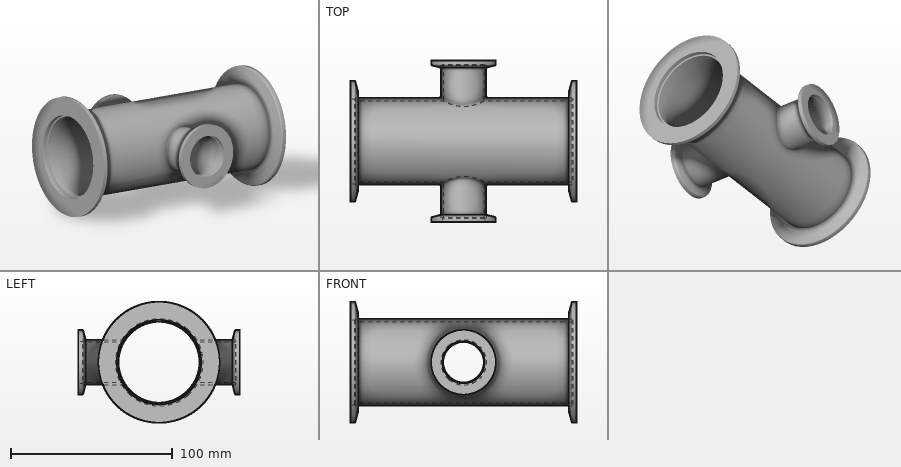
import cadquery as cq
import math

main_length = 140.0
branch_span = 100.0

main_outer_d = 54.0
main_bore_d = 50.0
main_flange_d = 75.0
main_recess_d = 52.4
main_hub_d = 60.2

branch_outer_d = 28.0
branch_bore_d = 25.0
branch_flange_d = 40.0
branch_recess_d = 26.2
branch_hub_d = 28.1

rim_width = 2.2
rim_round = 1.0
cone_angle = math.radians(15)
recess_depth = 3.0
junction_fillet = 0.7
weld_fillet = 0.5


def cylinder_x(diameter, length):
    return cq.Workplane("YZ").circle(diameter / 2).extrude(length / 2, both=True)


def cylinder_y(diameter, length):
    return cq.Workplane("XZ").circle(diameter / 2).extrude(length / 2, both=True)


def face_main_end(body, side):
    """Move a body built from z = 0 inwards along +Z to one end of the main tube."""
    return body.rotate((0, 0, 0), (0, 1, 0), -90 * side).translate((side * main_length / 2, 0, 0))


def face_branch_end(body, side):
    """Move a body built from z = 0 inwards along +Z to the end of one branch."""
    return body.rotate((0, 0, 0), (1, 0, 0), 90 * side).translate((0, side * branch_span / 2, 0))


def make_weld_bead(recess_d):
    """Concave fillet ring around Z, in the corner of a recess that opens at z = 0."""
    recess_r = recess_d / 2
    arc_center_r = recess_r - weld_fillet
    arc_center_z = recess_depth - weld_fillet
    arc_reach = weld_fillet * math.sqrt(0.5)
    return (
        cq.Workplane("XZ")
        .moveTo(recess_r, recess_depth)
        .lineTo(recess_r, arc_center_z)
        .threePointArc(
            (arc_center_r + arc_reach, arc_center_z + arc_reach),
            (arc_center_r, recess_depth),
        )
        .close()
        .revolve(360, (0, 0, 0), (0, 1, 0))
    )


def make_cross_tube():
    """Main tube with both branches; every end stops at a flange recess and carries a weld bead."""
    main_tube_length = main_length - 2 * recess_depth
    branch_tube_length = branch_span - 2 * recess_depth
    main_tube = cylinder_x(main_outer_d, main_tube_length)
    cross = main_tube.union(cylinder_y(branch_outer_d, branch_tube_length))

    junction_zone = cq.selectors.BoxSelector(
        (-branch_outer_d, -main_outer_d, -branch_outer_d),
        (branch_outer_d, main_outer_d, branch_outer_d),
    )
    cross = cross.edges(junction_zone).edges("not %LINE").edges("not %CIRCLE").fillet(junction_fillet)

    cross = cross.cut(cylinder_x(main_bore_d, main_length))
    cross = cross.cut(cylinder_y(branch_bore_d, branch_span))

    for side in (-1, 1):
        cross = cross.union(face_main_end(make_weld_bead(main_recess_d), side))
        cross = cross.union(face_branch_end(make_weld_bead(branch_recess_d), side))
    return cross


def make_flange(outer_d, hub_d, tube_d, recess_d):
    """Flange around Z: sealing face at z = 0, clamping cone towards +Z."""
    outer_r = outer_d / 2
    hub_r = hub_d / 2
    round_center_r = outer_r - rim_round

    def on_round(angle):
        return (
            round_center_r + rim_round * math.cos(angle),
            rim_width + rim_round * math.sin(angle),
        )

    cone_start_angle = math.pi / 2 - cone_angle
    cone_start = on_round(cone_start_angle)
    thickness = cone_start[1] + (cone_start[0] - hub_r) * math.tan(cone_angle)

    return (
        cq.Workplane("XZ")
        .moveTo(recess_d / 2, 0)
        .lineTo(outer_r, 0)
        .lineTo(outer_r, rim_width)
        .threePointArc(on_round(cone_start_angle / 2), cone_start)
        .lineTo(hub_r, thickness)
        .lineTo(tube_d / 2, thickness)
        .lineTo(tube_d / 2, recess_depth)
        .lineTo(recess_d / 2, recess_depth)
        .close()
        .revolve(360, (0, 0, 0), (0, 1, 0))
    )


def make_main_flange(side):
    flange = make_flange(main_flange_d, main_hub_d, main_outer_d, main_recess_d)
    return face_main_end(flange, side)


def make_branch_flange(side):
    flange = make_flange(branch_flange_d, branch_hub_d, branch_outer_d, branch_recess_d)
    return face_branch_end(flange, side)


cross_tube = make_cross_tube()
main_flanges = [make_main_flange(side) for side in (-1, 1)]
branch_flanges = [make_branch_flange(side) for side in (-1, 1)]

result = cq.Compound.makeCompound(
    [cross_tube.val()] + [flange.val() for flange in main_flanges + branch_flanges]
)